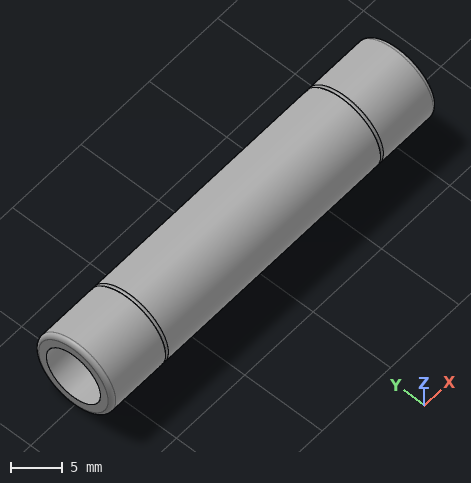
import cadquery as cq

length = 47.5
outer_diameter = 10.0
bore_diameter = 7.0
end_rounding = 0.5
groove_distance = 8.05
groove_radius = 0.2

outer_radius = outer_diameter / 2


def make_sleeve():
    """Straight tube with rounded outer rims and a through bore."""
    body = cq.Workplane("YZ").circle(outer_radius).extrude(length / 2, both=True)
    body = body.faces("<X or >X").edges().fillet(end_rounding)
    bore = cq.Workplane("YZ").circle(bore_diameter / 2).extrude(length / 2, both=True)
    return body.cut(bore)


def make_groove_ring(center_x):
    """Ring of round section, centred on the outer surface, that cuts a half-round groove."""
    return (
        cq.Workplane("XZ")
        .center(center_x, outer_radius)
        .circle(groove_radius)
        .revolve(360, (0, -outer_radius), (1, -outer_radius))
    )


result = make_sleeve()
groove_offset = length / 2 - groove_distance
for side in (-1, 1):
    result = result.cut(make_groove_ring(side * groove_offset))